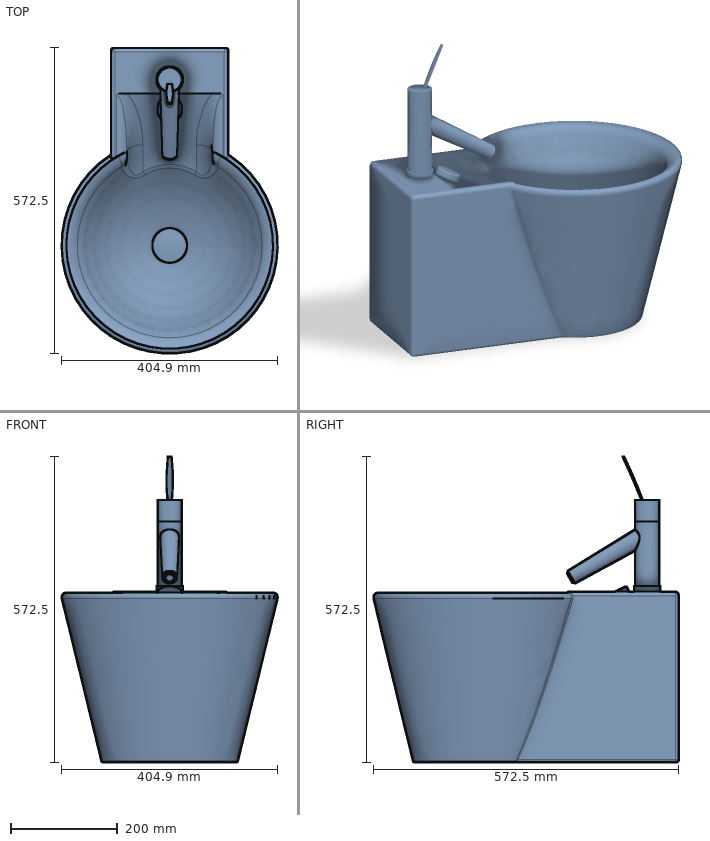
import cadquery as cq
import math

block_width = 220.0
block_back_y = 370.02
deck_z = 320.0
block_edge_radius = 6.0
deck_side_radius = 8.0
junction_radius = 4.0

bowl_radius = 202.43
rim_z = 318.0
rim_outer_radius = 9.0
rim_crest_radius = bowl_radius - rim_outer_radius
wall_angle = math.radians(13.7)
foot_radius = 5.0
hollow_radius = 185.0
hollow_bottom_z = 180.0
hollow_centre_z = hollow_bottom_z + hollow_radius
hollow_edge_radius = 173.0

cut_margin = 10.0
trough_half_width = 100.0
trough_back_y = 285.0
trough_front_y = 60.0
trough_slope = math.radians(25.5)
trough_lip_radius = 20.0
trough_corner_radius = 30.0
trough_back_depth = 1.0
trough_mouth_radius = 20.0
mouth_front_y = 120.0
mouth_back_y = 152.0
mouth_top_z = 296.0

drain_radius = 32.5
drain_thickness = 15.0
drain_edge_rise = 5.0
drain_dome_rise = 3.0

cover_radius = 23.0
cover_height = 16.0
cover_edge_radius = 2.5
cover_y = 258.0

tap_y = 310.5
ring_radius = 25.0
ring_height = 10.0
column_radius = 22.8
column_top_z = deck_z + 131.0
cap_height = 40.5
cap_top_z = column_top_z + cap_height

spout_angle = math.radians(30)
spout_tip_y = 168.5
spout_tip_z = deck_z + 27.0
spout_tip_radius = 13.8
spout_root_radius = 18.2
aerator_radius = 10.5
aerator_bore_radius = 8.4
aerator_length = 3.5
aerator_bore_depth = 1.5

lever_top_z = 572.48
lever_root_y = 301.0
lever_tip_y = 266.0
lever_bow = 1.0
lever_thickness = 2.8
lever_root_width = 9.0
lever_middle_width = 12.5
lever_tip_width = 7.5


def trough_floor_z(y):
    return deck_z - trough_back_depth - (trough_back_y - y) * math.tan(trough_slope)


def make_block():
    block = cq.Workplane("XY").box(block_width, block_back_y, deck_z, centered=(True, False, False))
    block = block.edges("|Z and >Y").fillet(block_edge_radius)
    block = block.faces("<Z").edges("not <Y").fillet(block_edge_radius)
    return block.faces(">Z").edges("not <Y").fillet(deck_side_radius)


def make_bowl_outside():
    rim_centre_z = rim_z - rim_outer_radius
    wall_top = (
        rim_crest_radius + rim_outer_radius * math.cos(wall_angle),
        rim_centre_z - rim_outer_radius * math.sin(wall_angle),
    )
    foot_corner = wall_top[0] - wall_top[1] * math.tan(wall_angle)
    bowl = (
        cq.Workplane("XZ")
        .lineTo(foot_corner, 0)
        .lineTo(*wall_top)
        .threePointArc((rim_crest_radius + rim_outer_radius * math.sin(math.pi / 4),
                        rim_centre_z + rim_outer_radius * math.cos(math.pi / 4)),
                       (rim_crest_radius, rim_z))
        .lineTo(0, rim_z)
        .close()
        .revolve(360, (0, 0, 0), (0, 1, 0))
    )
    return bowl.faces("<Z").edges().fillet(foot_radius)


def make_bowl_hollow():
    edge_angle = math.asin(hollow_edge_radius / hollow_radius)
    edge_z = hollow_centre_z - hollow_radius * math.cos(edge_angle)
    middle = (
        hollow_radius * math.sin(edge_angle / 2),
        hollow_centre_z - hollow_radius * math.cos(edge_angle / 2),
    )
    clear_z = deck_z + cut_margin
    return (
        cq.Workplane("XZ")
        .moveTo(0, hollow_bottom_z)
        .threePointArc(middle, (hollow_edge_radius, edge_z))
        .tangentArcPoint((rim_crest_radius, rim_z), relative=False)
        .lineTo(rim_crest_radius, clear_z)
        .lineTo(0, clear_z)
        .close()
        .revolve(360, (0, 0, 0), (0, 1, 0))
    )


def make_trough():
    lip = trough_lip_radius
    wall_x = trough_half_width - lip
    length = trough_back_y - trough_front_y
    lip_middle = (
        trough_half_width - lip * math.sin(math.pi / 4),
        deck_z - lip + lip * math.cos(math.pi / 4),
    )
    below_front_y = trough_front_y - cut_margin
    below_back_y = trough_back_y + cut_margin
    low_z = trough_floor_z(below_front_y)
    trough = (
        cq.Workplane("XZ", origin=(0, trough_back_y, 0))
        .moveTo(-wall_x, low_z)
        .lineTo(wall_x, low_z)
        .lineTo(wall_x, deck_z - lip)
        .threePointArc(lip_middle, (trough_half_width, deck_z))
        .lineTo(trough_half_width, deck_z + cut_margin)
        .lineTo(-trough_half_width, deck_z + cut_margin)
        .lineTo(-trough_half_width, deck_z)
        .threePointArc((-lip_middle[0], lip_middle[1]), (-wall_x, deck_z - lip))
        .close()
        .extrude(length)
    )
    below = (
        cq.Workplane("YZ", origin=(-block_width, 0, 0))
        .moveTo(below_front_y, trough_floor_z(below_front_y))
        .lineTo(below_back_y, trough_floor_z(below_back_y))
        .lineTo(below_back_y, 0)
        .lineTo(below_front_y, 0)
        .close()
        .extrude(2 * block_width)
    )
    trough = trough.cut(below)
    corner_edges = trough.faces("<Z").edges("not |X")
    return corner_edges.fillet(trough_corner_radius)


def make_drain_cap():
    edge_z = hollow_bottom_z + drain_edge_rise
    dome_z = edge_z + drain_dome_rise
    sphere_radius = (drain_radius ** 2 + drain_dome_rise ** 2) / (2 * drain_dome_rise)
    middle_x = drain_radius / 2
    middle_z = dome_z - sphere_radius + math.sqrt(sphere_radius ** 2 - middle_x ** 2)
    return (
        cq.Workplane("XZ")
        .moveTo(0, edge_z - drain_thickness)
        .lineTo(drain_radius, edge_z - drain_thickness)
        .lineTo(drain_radius, edge_z)
        .threePointArc((middle_x, middle_z), (0, dome_z))
        .close()
        .revolve(360, (0, 0, 0), (0, 1, 0))
    )


def make_basin(drain_cap):
    basin = make_block().union(make_bowl_outside())
    basin = basin.edges("%HYPERBOLA").fillet(junction_radius)
    basin = basin.cut(make_bowl_hollow()).cut(make_trough())
    mouth_box = cq.selectors.BoxSelector(
        (-trough_half_width, mouth_front_y, trough_floor_z(mouth_front_y)),
        (trough_half_width, mouth_back_y, mouth_top_z),
    )
    basin = basin.edges(mouth_box).fillet(trough_mouth_radius)
    return basin.cut(drain_cap)


def make_overflow_cover():
    floor_normal = (0, -math.sin(trough_slope), math.cos(trough_slope))
    floor_plane = cq.Plane(
        origin=(0, cover_y, trough_floor_z(cover_y)), xDir=(1, 0, 0), normal=floor_normal
    )
    cover = cq.Workplane(floor_plane).circle(cover_radius).extrude(cover_height)
    topmost = cq.selectors.DirectionMinMaxSelector(cq.Vector(*floor_normal), True)
    top_edge = cover.faces(topmost).edges()
    return top_edge.fillet(cover_edge_radius)


def make_tap_ring():
    return cq.Workplane("XY", origin=(0, tap_y, deck_z)).circle(ring_radius).extrude(ring_height)


def make_spout_plane():
    """Plane across the spout tip, facing out along the spout."""
    outward = (0, -math.cos(spout_angle), -math.sin(spout_angle))
    return cq.Plane(origin=(0, spout_tip_y, spout_tip_z), xDir=(1, 0, 0), normal=outward)


def make_tap_body():
    ring_top_z = deck_z + ring_height
    column = (
        cq.Workplane("XY", origin=(0, tap_y, ring_top_z))
        .circle(column_radius)
        .extrude(column_top_z - ring_top_z)
    )
    length_to_axis = (tap_y - spout_tip_y) / math.cos(spout_angle)
    spout = (
        cq.Workplane(make_spout_plane())
        .circle(spout_tip_radius)
        .workplane(offset=-length_to_axis)
        .circle(spout_root_radius)
        .loft()
    )
    return column.union(spout)


def make_aerator():
    ring = cq.Workplane(make_spout_plane()).circle(aerator_radius).extrude(aerator_length)
    bore = (
        cq.Workplane(make_spout_plane())
        .workplane(offset=aerator_length - aerator_bore_depth)
        .circle(aerator_bore_radius)
        .extrude(aerator_bore_depth)
    )
    return ring.cut(bore)


def make_tap_cap():
    return cq.Workplane("XY", origin=(0, tap_y, column_top_z)).circle(column_radius).extrude(cap_height)


def make_lever():
    """Blade curved towards the bowl, trimmed across its width to a leaf outline."""
    middle_y = (lever_root_y + lever_tip_y) / 2 + lever_bow
    middle_z = (cap_top_z + lever_top_z) / 2
    half_thickness = lever_thickness / 2
    blade = (
        cq.Workplane("YZ", origin=(-lever_middle_width, 0, 0))
        .moveTo(lever_root_y - half_thickness, cap_top_z)
        .threePointArc((middle_y - half_thickness, middle_z), (lever_tip_y - half_thickness, lever_top_z))
        .lineTo(lever_tip_y + half_thickness, lever_top_z)
        .threePointArc((middle_y + half_thickness, middle_z), (lever_root_y + half_thickness, cap_top_z))
        .close()
        .extrude(2 * lever_middle_width)
    )
    outline = (
        cq.Workplane("XZ", origin=(0, tap_y, 0))
        .moveTo(-lever_root_width / 2, cap_top_z)
        .lineTo(lever_root_width / 2, cap_top_z)
        .threePointArc((lever_middle_width / 2, middle_z), (lever_tip_width / 2, lever_top_z))
        .lineTo(-lever_tip_width / 2, lever_top_z)
        .threePointArc((-lever_middle_width / 2, middle_z), (-lever_root_width / 2, cap_top_z))
        .close()
        .extrude(tap_y)
    )
    return blade.intersect(outline)


drain_cap = make_drain_cap()
basin = make_basin(drain_cap)
overflow_cover = make_overflow_cover()
tap_ring = make_tap_ring()
tap_body = make_tap_body()
aerator = make_aerator()
tap_cap = make_tap_cap()
lever = make_lever()

result = cq.Compound.makeCompound([
    basin.val(),
    drain_cap.val(),
    overflow_cover.val(),
    tap_ring.val(),
    tap_body.val(),
    aerator.val(),
    tap_cap.val(),
    lever.val(),
])